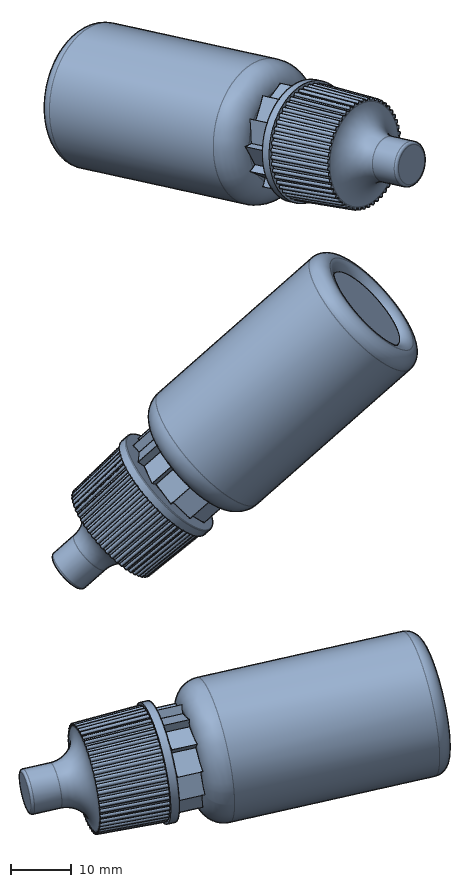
import cadquery as cq
import math


total_length = 70.2
bottle_radius = 12.3
bottom_fillet = 2.45
recess_rim_width = 2.0
recess_depth = 1.2
shoulder_start = 37.75
shoulder_radius = 4.2
neck_radius = 6.7
neck_length_in_cap = 8.4

tooth_count = 12
tooth_tip_radius = 9.0
tooth_root_radius = 7.5
tooth_undercut = 2.0
collar_length = 4.3

collar_gap = 0.35
flange_radius = 10.3
flange_length = 1.55
flange_edge_fillet = 0.15
grip_length = 11.85
grip_start_radius = 9.55
grip_end_radius = 9.05
rib_count = 50
rib_radius = 0.36
spout_radius = 3.85
spout_flare_radius = 5.0
spout_edge_fillet = 0.5

collar_start = shoulder_start + shoulder_radius
collar_end = collar_start + collar_length
cap_start = collar_end + collar_gap
neck_end = cap_start + neck_length_in_cap
flange_end = cap_start + flange_length
grip_end = flange_end + grip_length
flare_end = grip_end + spout_flare_radius

DIAGONAL = math.sqrt(0.5)


def revolve_about_x(profile):
    return profile.close().revolve(360, (0, 0, 0), (1, 0, 0))


def disc_along_x(start, end, radius):
    return cq.Workplane("YZ", origin=(start, 0, 0)).circle(radius).extrude(end - start)


def point_around_x(radius, degrees):
    """Point in the YZ plane, with the angle counted from -Y towards +Z."""
    angle = math.radians(degrees)
    return (-radius * math.cos(angle), radius * math.sin(angle))


def bottle_shell():
    """Round body with a rolled bottom rim, a recessed base and a rounded shoulder.

    The arc on the inside of the rim is tangent to the bottom plane and ends at the recess floor.
    """
    rim_radius = bottle_radius - bottom_fillet
    base_radius = rim_radius - recess_rim_width
    rim_arc_angle = 2 * math.atan(recess_depth / recess_rim_width)
    rim_arc_radius = recess_rim_width / math.sin(rim_arc_angle)
    shoulder_center = bottle_radius - shoulder_radius
    profile = (
        cq.Workplane("XY")
        .moveTo(recess_depth, 0)
        .lineTo(recess_depth, base_radius)
        .threePointArc(
            (
                rim_arc_radius * (1 - math.cos(rim_arc_angle / 2)),
                rim_radius - rim_arc_radius * math.sin(rim_arc_angle / 2),
            ),
            (0, rim_radius),
        )
        .threePointArc(
            (bottom_fillet * (1 - DIAGONAL), rim_radius + bottom_fillet * DIAGONAL),
            (bottom_fillet, bottle_radius),
        )
        .lineTo(shoulder_start, bottle_radius)
        .threePointArc(
            (shoulder_start + shoulder_radius * DIAGONAL, shoulder_center + shoulder_radius * DIAGONAL),
            (collar_start, shoulder_center),
        )
        .lineTo(collar_start, 0)
    )
    return revolve_about_x(profile)


def ratchet_collar():
    """Ring of saw teeth; it starts inside the shoulder, so that no gap is left there."""
    pitch = 360 / tooth_count
    outline = []
    for i in range(tooth_count):
        outline.append(point_around_x(tooth_tip_radius, i * pitch))
        outline.append(point_around_x(tooth_root_radius, i * pitch + tooth_undercut))
    start = shoulder_start
    return cq.Workplane("YZ", origin=(start, 0, 0)).polyline(outline).close().extrude(collar_end - start)


def make_bottle():
    neck = disc_along_x(shoulder_start, neck_end, neck_radius)
    return bottle_shell().union(ratchet_collar()).union(neck)


def cap_blank():
    """Flange, tapered grip and flared spout in one revolved solid."""
    flare_foot = spout_radius + spout_flare_radius
    profile = (
        cq.Workplane("XY")
        .moveTo(cap_start, 0)
        .lineTo(cap_start, flange_radius - flange_edge_fillet)
        .threePointArc(
            (
                cap_start + flange_edge_fillet * (1 - DIAGONAL),
                flange_radius - flange_edge_fillet * (1 - DIAGONAL),
            ),
            (cap_start + flange_edge_fillet, flange_radius),
        )
        .lineTo(flange_end, flange_radius)
        .lineTo(flange_end, grip_start_radius)
        .lineTo(grip_end, grip_end_radius)
        .lineTo(grip_end, flare_foot)
        .threePointArc(
            (flare_end - spout_flare_radius * DIAGONAL, flare_foot - spout_flare_radius * DIAGONAL),
            (flare_end, spout_radius),
        )
        .lineTo(total_length - spout_edge_fillet, spout_radius)
        .threePointArc(
            (
                total_length - spout_edge_fillet * (1 - DIAGONAL),
                spout_radius - spout_edge_fillet * (1 - DIAGONAL),
            ),
            (total_length, spout_radius - spout_edge_fillet),
        )
        .lineTo(total_length, 0)
    )
    return revolve_about_x(profile)


def grip_rib(degrees):
    """Round rib that follows the taper of the grip, half sunk in it."""
    circle = cq.Wire.makeCircle(
        rib_radius, cq.Vector(flange_end, 0, grip_start_radius), cq.Vector(1, 0, 0)
    )
    along_taper = cq.Vector(grip_length, 0, grip_end_radius - grip_start_radius)
    rib = cq.Solid.extrudeLinear(circle, [], along_taper)
    return rib.rotate(cq.Vector(0, 0, 0), cq.Vector(1, 0, 0), degrees)


def make_cap():
    ribs = [grip_rib(i * 360 / rib_count) for i in range(rib_count)]
    solid = cap_blank().val().fuse(*ribs)
    neck_bore = disc_along_x(cap_start, neck_end, neck_radius)
    return cq.Workplane(solid).cut(neck_bore)


bottle = make_bottle()
cap = make_cap()

result = cq.Compound.makeCompound([bottle.val(), cap.val()])